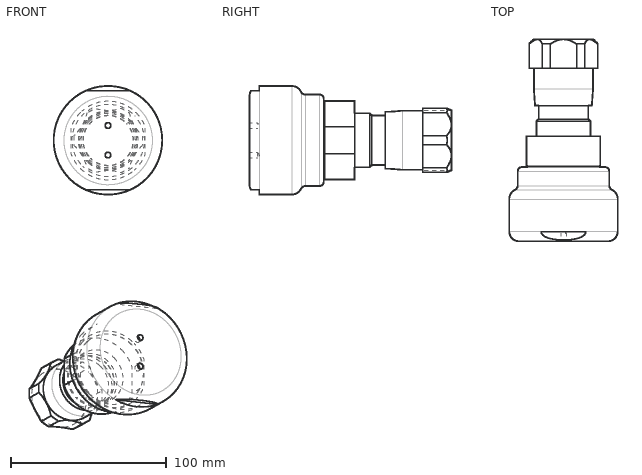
import cadquery as cq
import math

LENGTH = 129.8

FLAT_END = 6.2
SHOULDER_START = 27.1
COLLAR_END = 47.8
BOSS_START = 48.3
BOSS_END = 67.5
RING_END = 78.4
SLEEVE_START = 87.1
TAPER_END = 98.0
NUT_START = 111.1

HEAD_RADIUS = 34.9
HEAD_FRONT_ROUND = 6.5
HEAD_FLAT_OFFSET = 31.8
SHOULDER_ROUND = 6.7
COLLAR_RADIUS = 29.5
COLLAR_ROOT_ROUND = 3.0
COLLAR_ROUND = 2.9

GROOVE_RADIUS = 23.2
BOSS_RADIUS = 25.3
BOSS_FLAT_OFFSET = 23.7
RING_RADIUS = 17.4
RING_CHAMFER = 1.2
NECK_RADIUS = 16.0
TAPER_RADIUS = 18.3
SLEEVE_RADIUS = 19.1

NUT_SIDES = 6
NUT_FLAT_OFFSET = 22.0
NUT_FLAT_WIDTH = 6.0
SCALLOP_OFFSET = 19.3
NUT_CHAMFER = 3.1

HOLE_RADIUS = 1.8
HOLE_OFFSET = 9.5
HOLE_DEPTH = 5.2
DRILL_TIP_ANGLE = 118.0


def arc_point(center, radius, angle):
    return (center[0] + radius * math.cos(angle), center[1] + radius * math.sin(angle))


def revolve_y(profile):
    return profile.close().revolve(360, (0, 0, 0), (0, 1, 0))


def cylinder_y(radius, start, end):
    return cq.Workplane("XZ", origin=(0, start, 0)).circle(radius).extrude(start - end)


def trim_to_slab(body, width_x, start, end, width_z):
    """Keep only the material inside a centred rectangular block."""
    slab = cq.Workplane("XY").box(width_x, end - start, width_z, centered=(True, False, True))
    return body.intersect(slab.translate((0, start, 0)))


def make_head():
    round_sum = SHOULDER_ROUND + COLLAR_ROOT_ROUND
    sweep = math.acos(1 - (HEAD_RADIUS - COLLAR_RADIUS) / round_sum)
    root_end = SHOULDER_START + round_sum * math.sin(sweep)
    front_center = (HEAD_RADIUS - HEAD_FRONT_ROUND, HEAD_FRONT_ROUND)
    shoulder_center = (HEAD_RADIUS - SHOULDER_ROUND, SHOULDER_START)
    root_center = (COLLAR_RADIUS + COLLAR_ROOT_ROUND, root_end)
    collar_center = (COLLAR_RADIUS - COLLAR_ROUND, COLLAR_END - COLLAR_ROUND)

    head = revolve_y(
        cq.Workplane("XY")
        .moveTo(0, 0)
        .lineTo(front_center[0], 0)
        .threePointArc(
            arc_point(front_center, HEAD_FRONT_ROUND, -math.pi / 4),
            (HEAD_RADIUS, HEAD_FRONT_ROUND),
        )
        .lineTo(HEAD_RADIUS, SHOULDER_START)
        .threePointArc(
            arc_point(shoulder_center, SHOULDER_ROUND, sweep / 2),
            arc_point(shoulder_center, SHOULDER_ROUND, sweep),
        )
        .threePointArc(
            arc_point(root_center, COLLAR_ROOT_ROUND, math.pi + sweep / 2),
            (COLLAR_RADIUS, root_end),
        )
        .lineTo(COLLAR_RADIUS, collar_center[1])
        .threePointArc(
            arc_point(collar_center, COLLAR_ROUND, math.pi / 4),
            (collar_center[0], COLLAR_END),
        )
        .lineTo(0, COLLAR_END)
    )
    width = 2 * HEAD_RADIUS
    front = trim_to_slab(head, width, 0, FLAT_END, 2 * HEAD_FLAT_OFFSET)
    rear = trim_to_slab(head, width, FLAT_END, COLLAR_END, width)
    return front.union(rear)


def make_stem():
    groove = cylinder_y(GROOVE_RADIUS, COLLAR_END, BOSS_START)
    boss = trim_to_slab(
        cylinder_y(BOSS_RADIUS, BOSS_START, BOSS_END),
        2 * BOSS_FLAT_OFFSET, BOSS_START, BOSS_END, 2 * BOSS_RADIUS,
    )
    shaft = revolve_y(
        cq.Workplane("XY")
        .moveTo(0, BOSS_END)
        .lineTo(RING_RADIUS, BOSS_END)
        .lineTo(RING_RADIUS, RING_END - RING_CHAMFER)
        .lineTo(RING_RADIUS - RING_CHAMFER, RING_END)
        .lineTo(NECK_RADIUS, RING_END)
        .lineTo(NECK_RADIUS, SLEEVE_START)
        .lineTo(TAPER_RADIUS, SLEEVE_START)
        .lineTo(SLEEVE_RADIUS, TAPER_END)
        .lineTo(SLEEVE_RADIUS, NUT_START)
        .lineTo(0, NUT_START)
    )
    return groove.union(boss).union(shaft)


def make_nut():
    half_width = NUT_FLAT_WIDTH / 2
    edge_radius = math.hypot(NUT_FLAT_OFFSET, half_width)
    edge_angle = math.atan2(half_width, NUT_FLAT_OFFSET)
    step = 2 * math.pi / NUT_SIDES
    origin = (0, 0)

    outline = cq.Workplane("XZ", origin=(0, NUT_START, 0))
    outline = outline.moveTo(*arc_point(origin, edge_radius, -edge_angle))
    for side in range(NUT_SIDES):
        angle = side * step
        outline = outline.lineTo(*arc_point(origin, edge_radius, angle + edge_angle))
        outline = outline.threePointArc(
            arc_point(origin, SCALLOP_OFFSET, angle + step / 2),
            arc_point(origin, edge_radius, angle + step - edge_angle),
        )
    prism = outline.close().extrude(NUT_START - LENGTH)
    envelope = cylinder_y(edge_radius, NUT_START, LENGTH).faces(">Y").chamfer(NUT_CHAMFER)
    return prism.intersect(envelope)


def make_hole(z):
    tip_depth = HOLE_RADIUS / math.tan(math.radians(DRILL_TIP_ANGLE / 2))
    hole = revolve_y(
        cq.Workplane("XY")
        .moveTo(0, 0)
        .lineTo(HOLE_RADIUS, 0)
        .lineTo(HOLE_RADIUS, HOLE_DEPTH)
        .lineTo(0, HOLE_DEPTH + tip_depth)
    )
    return hole.translate((0, 0, z))


result = make_head().union(make_stem()).union(make_nut())
for hole_z in (-HOLE_OFFSET, HOLE_OFFSET):
    result = result.cut(make_hole(hole_z))